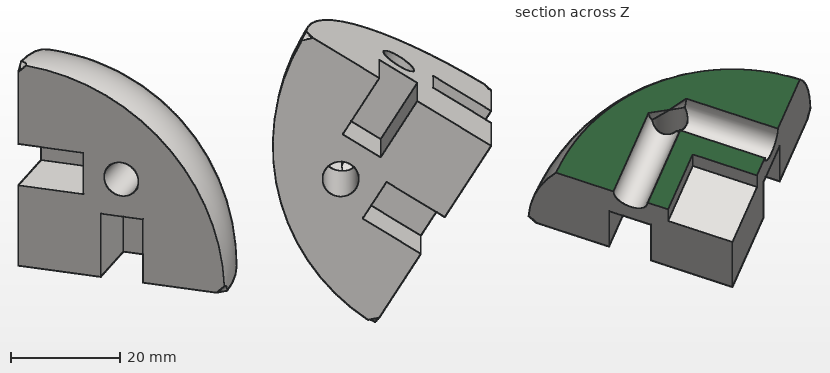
import cadquery as cq
import math

outer_size = 39.97
hole_offset = outer_size / 2
slot_start = 16.0
slot_width = 8.2
slot_depth = 12.6
hole_diameter = 6.65
hole_straight_depth = 18.0
drill_tip_angle = 118.0
countersink_radius = 1.5

sphere_radius = math.hypot(outer_size, countersink_radius)
hole_radius = hole_diameter / 2
drill_tip_length = hole_radius / math.tan(math.radians(drill_tip_angle / 2))
hole_full_depth = hole_straight_depth + drill_tip_length
countersink_apex = outer_size - countersink_radius


def sphere_octant():
    """Solid eighth of a sphere with its square corner at the origin."""
    arc_middle = sphere_radius * math.sqrt(0.5)
    quarter_disc = (
        cq.Workplane("YZ")
        .lineTo(sphere_radius, 0)
        .threePointArc((arc_middle, arc_middle), (0, sphere_radius))
        .close()
    )
    return quarter_disc.revolve(90, (0, 0, 0), (0, -1, 0))


def edge_slot():
    """Square notch across the Z edge."""
    notch = cq.Workplane("XY").box(slot_depth, slot_depth, slot_width, centered=False)
    return notch.translate((0, 0, slot_start))


def blind_hole():
    """Drilled hole from the bottom face, its conical tip opening into the tips of the other two."""
    profile = (
        cq.Workplane("XZ")
        .lineTo(hole_radius, 0)
        .lineTo(hole_radius, hole_straight_depth)
        .lineTo(0, hole_full_depth)
        .close()
    )
    hole = profile.revolve(360, (0, 0, 0), (0, 1, 0))
    return hole.translate((hole_offset, hole_offset, 0))


def tip_countersink():
    """Cone on the Z axis, widening outward past the sphere."""
    cone_height = sphere_radius - countersink_apex
    profile = (
        cq.Workplane("YZ")
        .moveTo(0, countersink_apex)
        .lineTo(cone_height, sphere_radius)
        .lineTo(0, sphere_radius)
        .close()
    )
    return profile.revolve(360, (0, 0, 0), (0, 1, 0))


result = sphere_octant()
for turn in (0, 120, 240):
    for cutter in (edge_slot(), blind_hole(), tip_countersink()):
        result = result.cut(cutter.rotate((0, 0, 0), (1, 1, 1), turn))